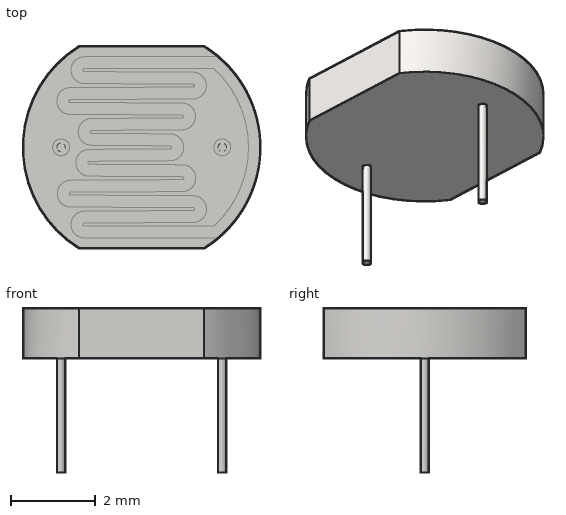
import cadquery as cq
import math

body_diameter = 5.62
body_width = 4.78
body_height = 1.19

lead_diameter = 0.2
lead_length = 2.7
lead_spacing = 3.81
lead_pad_diameter = 0.4

track_width = 0.283
bend_pitch = 0.73
bend_radius = 0.1755
left_bend_x = [-1.353, -1.69, -1.183, -1.238, -1.678, -1.353]
right_bend_x = [1.213, 0.955, 0.677, 0.963, 1.217]

body_radius = body_diameter / 2
rim_band_radius = body_radius - track_width
outer_bend_radius = bend_radius + track_width / 2
inner_bend_radius = bend_radius - track_width / 2
top_bend_y = bend_pitch * (len(left_bend_x) - 1) / 2
lead_positions = [(-lead_spacing / 2, 0), (lead_spacing / 2, 0)]


def circle_x(radius, y):
    """X of the right-hand point at height y on a circle about the origin."""
    return math.sqrt(radius**2 - y**2)


def make_body():
    disc = cq.Workplane("XY").circle(body_radius).extrude(body_height)
    flats = cq.Workplane("XY").rect(body_diameter, body_width).extrude(body_height)
    return disc.intersect(flats)


def list_bends():
    """Bends from the top down as (x, y, side); side is -1 on the left, +1 on the right."""
    bends = []
    for index, left_x in enumerate(left_bend_x):
        left_y = top_bend_y - index * bend_pitch
        bends.append((left_x, left_y, -1))
        if index < len(right_bend_x):
            bends.append((right_bend_x[index], left_y - bend_pitch / 2, 1))
    return bends


def make_band_face(left_radius, right_radius, end_y, rim_radius):
    """Flat face bounded by one edge of the serpentine and an arc about the body's centre."""
    end_x = circle_x(rim_radius, end_y)
    outline = cq.Workplane("XY").workplane(offset=body_height).moveTo(end_x, end_y)
    for x, y, side in list_bends():
        radius = left_radius if side < 0 else right_radius
        outline = outline.lineTo(x, y + radius)
        outline = outline.threePointArc((x + side * radius, y), (x, y - radius))
    outline = outline.lineTo(end_x, -end_y).threePointArc((rim_radius, 0), (end_x, end_y)).close()
    return cq.Face.makeFromWires(outline.wires().val())


def make_track_face():
    """Closed track: the serpentine, with its two ends joined by a band along the rim."""
    outer_y = top_bend_y + outer_bend_radius
    inner_y = top_bend_y + inner_bend_radius
    outside = make_band_face(outer_bend_radius, inner_bend_radius, outer_y, body_radius)
    inside = make_band_face(inner_bend_radius, outer_bend_radius, inner_y, rim_band_radius)
    return outside.cut(inside)


def make_pad_faces():
    """Round lead pads on the top face, one above each lead."""
    pads = (
        cq.Workplane("XY").workplane(offset=body_height)
        .pushPoints(lead_positions)
        .circle(lead_pad_diameter / 2)
    )
    return [cq.Face.makeFromWires(wire) for wire in pads.ctx.pendingWires]


def make_leads():
    return (
        cq.Workplane("XY")
        .pushPoints(lead_positions)
        .circle(lead_diameter / 2)
        .extrude(-lead_length)
    )


blank = make_body().union(make_leads())
marked = blank.val().split(make_track_face(), *make_pad_faces())
result = cq.Workplane(marked.Solids()[0])